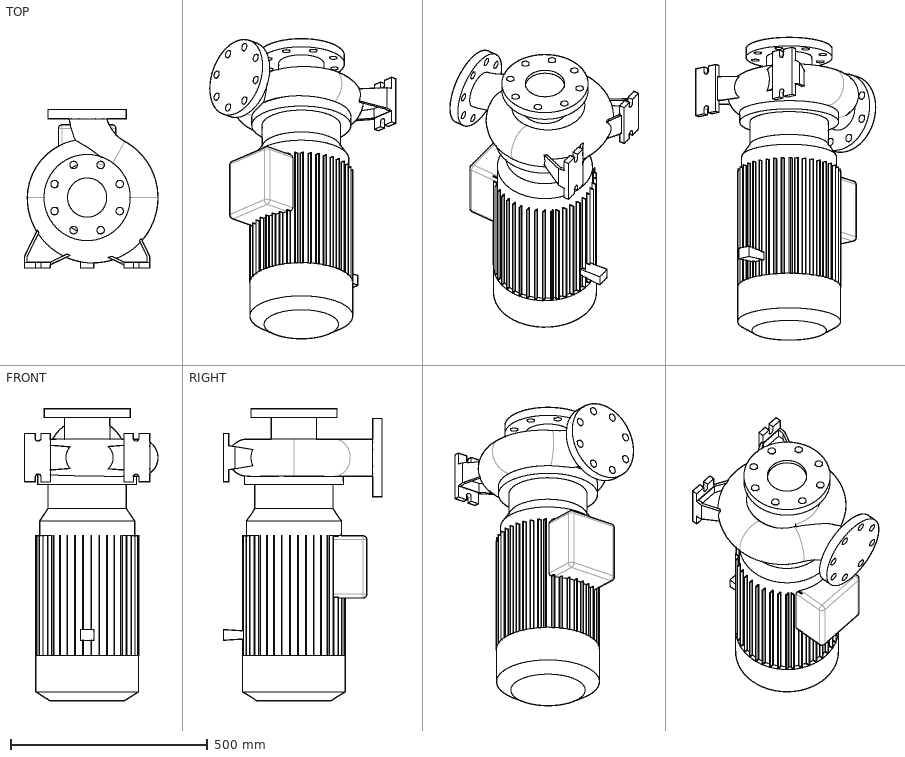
import cadquery as cq
import math


inlet_face_z = 125.0
inlet_flange_thickness = 23.0
casing_top_z = 40.0
cover_top_z = -40.0
cover_bottom_z = -69.0
lantern_bottom_z = -129.5
cone_bottom_z = -161.5
fin_top_z = -199.0
fin_bottom_z = -505.0
cowl_chamfer_z = -597.0
motor_bottom_z = -620.0

neck_radius = 58.0
cover_radius = 126.5
lantern_radius = 100.0
core_radius = 121.5
cowl_radius = 131.5
motor_bottom_radius = 95.0

inlet_flange_diameter = 220.0
inlet_bolt_circle = 180.0
inlet_bore_diameter = 100.0
inlet_bore_depth = 10.0
outlet_flange_diameter = 200.0
outlet_flange_thickness = 24.5
outlet_bolt_circle = 160.0
outlet_face_y = 225.0
bolt_hole_diameter = 19.0
bolt_count = 8

tube_radius = 47.5
volute_x_max = 181.0
volute_x_min = -153.0
throat_bend_radius = 116.0
tongue_tube_radius = 42.0
tongue_angle = 55.0

fin_pitch_angle = 9.0
fins_per_side = 10
fin_thickness = 2.0
fin_tip_radius = 132.0

box_width = 147.0
box_outer_y = 186.0
box_bottom_z = -358.0
box_fillet = 10.0

foot_base_y = -180.0
foot_thickness = 14.0
foot_outer_x = 160.0
foot_width = 66.0
foot_height = 124.0
foot_slot_x = 125.0
foot_slot_width = 14.0
foot_slot_depth = 20.0
bracket_wall = 6.5
bracket_half_height = 31.0
bracket_taper = 0.17
bracket_web_thickness = 10.0
bracket_bend_y = -150.0
bracket_lean_angle = 26.0
bracket_reach = 75.0
bracket_heel_drop = 6.0

support_width = 34.0
support_z = -452.0
support_base_height = 28.0
support_root_height = 20.0
support_root_y = -118.0


def cylinder(radius, z_bottom, z_top):
    return cq.Workplane("XY").workplane(offset=z_bottom).circle(radius).extrude(z_top - z_bottom)


def flange(diameter, thickness, bolt_circle):
    """Flange on the XY plane growing to +Z, bolt holes straddling the X and Y axes."""
    half_pitch = 180.0 / bolt_count
    return (
        cq.Workplane("XY")
        .circle(diameter / 2)
        .extrude(thickness)
        .faces(">Z")
        .workplane()
        .polarArray(bolt_circle / 2, half_pitch, 360, bolt_count)
        .hole(bolt_hole_diameter)
    )


def make_turned_body():
    """Cover plate, lantern, motor core and fan cowl as one revolved profile."""
    profile = [
        (0, cover_top_z),
        (cover_radius, cover_top_z),
        (cover_radius, cover_bottom_z),
        (lantern_radius, cover_bottom_z),
        (lantern_radius, lantern_bottom_z),
        (core_radius, cone_bottom_z),
        (core_radius, fin_bottom_z),
        (cowl_radius, fin_bottom_z),
        (cowl_radius, cowl_chamfer_z),
        (motor_bottom_radius, motor_bottom_z),
        (0, motor_bottom_z),
    ]
    return cq.Workplane("XZ").polyline(profile).close().revolve(360, (0, 0, 0), (0, 1, 0))


def make_fins():
    """Four groups of parallel fins, cut to a common tip circle."""
    height = fin_top_z - fin_bottom_z
    middle_z = (fin_top_z + fin_bottom_z) / 2
    fins = cq.Workplane("XY")
    for i in range(fins_per_side):
        angle = math.radians((i - (fins_per_side - 1) / 2) * fin_pitch_angle)
        offset = fin_tip_radius * math.sin(angle)
        root = core_radius * math.cos(angle) - fin_thickness
        length = fin_tip_radius - root
        fin = cq.Workplane("XY").box(length, fin_thickness, height)
        fin = fin.translate((root + length / 2, offset, middle_z))
        for side in range(4):
            fins = fins.add(fin.rotate((0, 0, 0), (0, 0, 1), side * 90))
    tip_cylinder = cylinder(fin_tip_radius, fin_bottom_z, fin_top_z)
    return fins.combine().intersect(tip_cylinder)


def make_inlet():
    neck = cylinder(neck_radius, 0, inlet_face_z - inlet_flange_thickness)
    rim = flange(inlet_flange_diameter, inlet_flange_thickness, inlet_bolt_circle)
    return neck.union(rim.translate((0, 0, inlet_face_z - inlet_flange_thickness)))


def make_volute():
    """Round tube from the outlet through an S-bend and half a turn, tapering to the tongue."""
    start_x = volute_x_max - tube_radius
    end_x = volute_x_min + tube_radius
    bend_angle = 2 * math.atan(start_x / outlet_face_y)
    outlet_bend_radius = outlet_face_y / math.sin(bend_angle) - throat_bend_radius

    def on_throat_bend(angle):
        x = start_x - throat_bend_radius * (1 - math.cos(angle))
        return (x, throat_bend_radius * math.sin(angle))

    def on_outlet_bend(angle):
        x = outlet_bend_radius * (1 - math.cos(angle))
        return (x, outlet_face_y - outlet_bend_radius * math.sin(angle))

    half_turn_radius = (start_x - end_x) / 2
    path = (
        cq.Workplane("XY")
        .moveTo(0, outlet_face_y)
        .threePointArc(on_outlet_bend(bend_angle / 2), on_outlet_bend(bend_angle))
        .threePointArc(on_throat_bend(bend_angle / 2), (start_x, 0))
        .threePointArc(((start_x + end_x) / 2, -half_turn_radius), (end_x, 0))
    )
    outlet_plane = cq.Plane((0, outlet_face_y, 0), xDir=(1, 0, 0), normal=(0, -1, 0))
    main_tube = cq.Workplane(outlet_plane).circle(tube_radius).sweep(path)

    tail_radius = -end_x

    def on_tail(angle):
        return (tail_radius * math.cos(angle), tail_radius * math.sin(angle))

    end_angle = math.radians(tongue_angle)
    tail_path = (
        cq.Workplane("XY")
        .moveTo(end_x, 0)
        .threePointArc(on_tail((math.pi + end_angle) / 2), on_tail(end_angle))
    )
    tail_end_plane = cq.Plane(
        (*on_tail(end_angle), 0),
        xDir=(math.cos(end_angle), math.sin(end_angle), 0),
        normal=(math.sin(end_angle), -math.cos(end_angle), 0),
    )
    tail_start_plane = cq.Plane((end_x, 0, 0), xDir=(-1, 0, 0), normal=(0, 1, 0))
    tail_start = cq.Workplane(tail_start_plane).circle(tube_radius)
    tail_end = cq.Workplane(tail_end_plane).circle(tongue_tube_radius)
    tail = tail_start.add(tail_end).toPending().sweep(tail_path, multisection=True)

    disc = cylinder(tail_radius, cover_top_z, casing_top_z)
    return main_tube.union(tail).union(disc)


def make_outlet_flange():
    rim = flange(outlet_flange_diameter, outlet_flange_thickness, outlet_bolt_circle)
    rim = rim.rotate((0, 0, 0), (1, 0, 0), -90)
    return rim.translate((0, outlet_face_y - outlet_flange_thickness, 0))


def make_terminal_box():
    height = fin_top_z - box_bottom_z
    box = cq.Workplane("XY").box(box_width, box_outer_y, height, centered=(True, False, False))
    box = box.edges("|Y").fillet(box_fillet)
    box = box.faces(">Y").edges().fillet(box_fillet)
    return box.translate((0, 0, box_bottom_z))


def plate_from_outline(outline, half_thickness):
    """Plate with the given XY outline, centred on Z = 0."""
    return cq.Workplane("XY").polyline(outline).close().extrude(half_thickness, both=True)


def make_foot():
    """Foot on the +X side: slotted base plate and a tapering two-wall bracket."""
    plate_y = foot_base_y + foot_thickness
    inner_x = foot_outer_x - foot_width
    plate = cq.Workplane("XY").box(foot_width, foot_thickness, foot_height, centered=(True, False, True))
    plate = plate.translate((inner_x + foot_width / 2, foot_base_y, 0))
    slot_end_z = foot_height / 2 - foot_slot_depth
    slot_length = foot_slot_depth + foot_slot_width
    for side in (1, -1):
        slot_z = side * (slot_end_z + slot_length / 2)
        slot = (
            cq.Workplane("XZ", origin=(foot_slot_x, plate_y, slot_z))
            .slot2D(slot_length, foot_slot_width, 90)
            .extrude(foot_thickness)
        )
        plate = plate.cut(slot)

    lean = math.tan(math.radians(bracket_lean_angle))
    wall_shift = bracket_wall * math.hypot(1, lean)

    bracket_root_y = bracket_bend_y + bracket_reach
    heel_y = plate_y - bracket_heel_drop

    def plan_outline(inset):
        """Bracket outline with the flanks moved inward along X or Y by inset."""
        return [
            (inner_x, heel_y + inset),
            (foot_outer_x - inset, heel_y + inset),
            (foot_outer_x - inset, bracket_bend_y),
            (foot_outer_x - inset - bracket_reach * lean, bracket_root_y),
            (inner_x - bracket_reach, heel_y + inset + bracket_reach * lean),
        ]

    bracket = plate_from_outline(plan_outline(0), bracket_half_height)
    pocket = plate_from_outline(plan_outline(wall_shift), bracket_half_height)
    web = plate_from_outline(plan_outline(0), bracket_web_thickness / 2)

    end_half_height = bracket_half_height - bracket_taper * (bracket_root_y - plate_y)
    taper = (
        cq.Workplane("YZ")
        .polyline([
            (foot_base_y, -bracket_half_height),
            (plate_y, -bracket_half_height),
            (bracket_root_y, -end_half_height),
            (bracket_root_y, end_half_height),
            (plate_y, bracket_half_height),
            (foot_base_y, bracket_half_height),
        ])
        .close()
        .extrude(foot_outer_x)
    )
    bracket = bracket.cut(pocket).union(web).intersect(taper)
    return bracket.union(plate)


def make_motor_support():
    """Small tapered block between the motor and the foot plane."""
    half_base = support_base_height / 2
    half_root = support_root_height / 2
    return (
        cq.Workplane("YZ", origin=(-support_width / 2, 0, support_z))
        .polyline([
            (foot_base_y, -half_base),
            (support_root_y, -half_root),
            (support_root_y, half_root),
            (foot_base_y, half_base),
        ])
        .close()
        .extrude(support_width)
    )


foot = make_foot()
result = (
    make_turned_body()
    .union(make_fins())
    .union(make_inlet())
    .union(make_volute())
    .union(make_outlet_flange())
    .union(make_terminal_box())
    .union(foot)
    .union(foot.mirror("YZ"))
    .union(make_motor_support())
)
result = result.cut(cylinder(inlet_bore_diameter / 2, inlet_face_z - inlet_bore_depth, inlet_face_z))